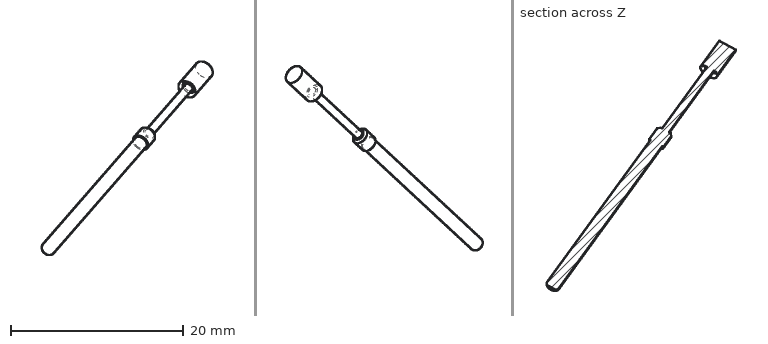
import cadquery as cq


total_length = 38.6
head_diameter = 2.3
head_length = 4.2
head_recess_depth = 0.4
head_recess_floor_diameter = 1.55
plunger_diameter = 1.0
collar_diameter = 2.0
collar_length = 2.05
collar_chamfer = 0.3
barrel_diameter = 1.65
barrel_length = 23.0
tail_round_radius = 0.4

tail_end = -total_length / 2
collar_start = tail_end + barrel_length
collar_end = collar_start + collar_length
head_end = total_length / 2
head_start = head_end - head_length
head_recess_floor = head_start + head_recess_depth


def cylinder_along_y(diameter, y_start, y_end):
    """Solid cylinder on the Y axis between two stations."""
    base = cq.Workplane("XZ").workplane(offset=-y_start)
    return base.circle(diameter / 2).extrude(y_start - y_end)


def make_barrel():
    """Long barrel with a rounded tail."""
    barrel = cylinder_along_y(barrel_diameter, tail_end, collar_start)
    return barrel.faces("<Y").edges().fillet(tail_round_radius)


def make_collar():
    """Press-fit collar, chamfered on the plunger side."""
    collar = cylinder_along_y(collar_diameter, collar_start, collar_end)
    return collar.faces(">Y").edges().chamfer(collar_chamfer)


def make_plunger():
    """Thin plunger shaft between the collar and the head."""
    return cylinder_along_y(plunger_diameter, collar_end, head_recess_floor)


def make_head():
    """Cylindrical contact head, hollowed by a cone around the plunger that opens out to a sharp rim."""
    profile = (
        cq.Workplane("XY")
        .moveTo(0, head_end)
        .lineTo(head_diameter / 2, head_end)
        .lineTo(head_diameter / 2, head_start)
        .lineTo(head_recess_floor_diameter / 2, head_recess_floor)
        .lineTo(0, head_recess_floor)
        .close()
    )
    return profile.revolve(360, (0, 0, 0), (0, 1, 0))


result = make_barrel().union(make_collar()).union(make_plunger()).union(make_head())